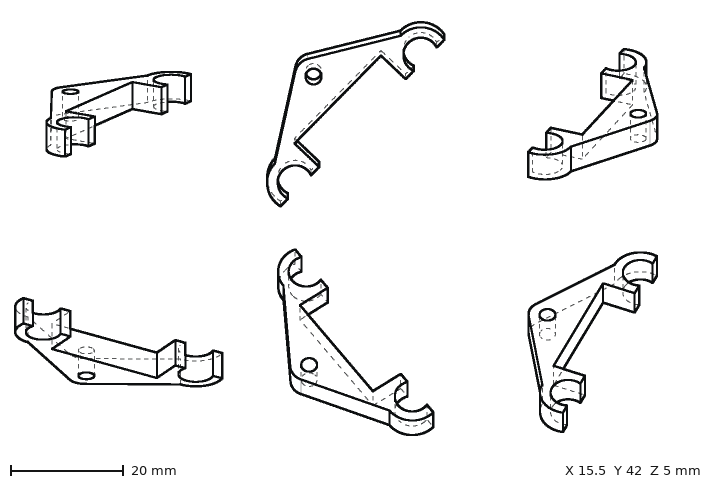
import cadquery as cq
import math

length = 42.0
thickness = 5.0
clip_outer_radius = 5.0
clip_bore_radius = 3.1
clip_end_x = 6.1
nose_radius = 3.0
nose_tip_x = -9.35
pivot_hole_diameter = 2.8
pivot_hole_x = -5.95

clip_x = clip_outer_radius
clip_y = length / 2 - clip_outer_radius
nose_x = nose_tip_x + nose_radius

slope_run = math.hypot(nose_x, clip_y)
tangent_angle = math.atan2(clip_y, -nose_x) + math.acos(nose_radius / slope_run)
tangent_x = nose_x + nose_radius * math.cos(tangent_angle)
tangent_y = nose_radius * math.sin(tangent_angle)


def make_plate():
    """Triangular plate with a rounded nose."""
    return (
        cq.Workplane("XY")
        .moveTo(0, -clip_y)
        .lineTo(0, clip_y)
        .lineTo(tangent_x, tangent_y)
        .threePointArc((nose_tip_x, 0), (tangent_x, -tangent_y))
        .close()
        .extrude(thickness)
    )


def make_clip(side):
    """Open clip at one end: round on the outside, square toward the middle."""
    center_y = side * clip_y
    ring = cq.Workplane("XY").center(clip_x, center_y).circle(clip_outer_radius).extrude(thickness)
    opening_trim = (
        cq.Workplane("XY")
        .center(clip_end_x / 2, center_y)
        .rect(clip_end_x, 2 * clip_outer_radius)
        .extrude(thickness)
    )
    arm = (
        cq.Workplane("XY")
        .center(clip_end_x / 2, side * (clip_y - clip_outer_radius / 2))
        .rect(clip_end_x, clip_outer_radius)
        .extrude(thickness)
    )
    return ring.intersect(opening_trim).union(arm)


result = make_plate()
for side in (-1, 1):
    result = result.union(make_clip(side))

clip_bores = (
    cq.Workplane("XY")
    .pushPoints([(clip_x, -clip_y), (clip_x, clip_y)])
    .circle(clip_bore_radius)
    .extrude(thickness)
)
pivot_hole = cq.Workplane("XY").center(pivot_hole_x, 0).circle(pivot_hole_diameter / 2).extrude(thickness)
result = result.cut(clip_bores).cut(pivot_hole)